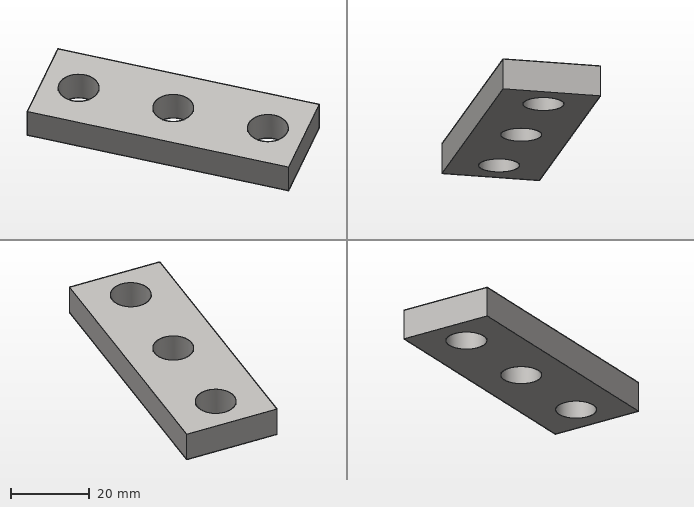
import cadquery as cq

length = 69.85
width = 25.4
thickness = 8.0
hole_diameter = 10.4
hole_pitch = 25.3
hole_count = 3

bar = cq.Workplane("XY").box(length, width, thickness)

result = (
    bar.faces(">Z")
    .workplane()
    .rarray(hole_pitch, 0.7, hole_count, 1)
    .hole(hole_diameter)
)